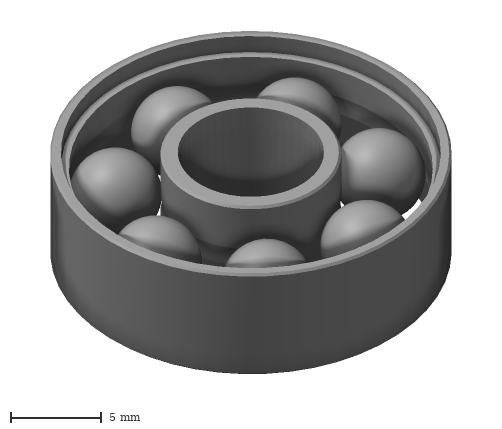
import cadquery as cq
import math

outer_radius = 11.05
width = 7.0
half_width = width / 2
edge_chamfer = 0.13

outer_land_radius = 10.0
recess_radius = 10.45
recess_depth = 1.1

inner_land_radius = 4.97
bore_radius = 4.02

ball_count = 7
ball_radius = 2.56
first_ball_angle = 18.4
groove_radius = 2.58
pitch_radius = (outer_land_radius + inner_land_radius) / 2


def tube(outside_radius, inside_radius):
    """Plain ring of full width, centred on the mid plane."""
    return (
        cq.Workplane("XY")
        .workplane(offset=-half_width)
        .circle(outside_radius)
        .circle(inside_radius)
        .extrude(width)
    )


def chamfer_outside(ring):
    """Chamfer the outermost edge at both ends of a ring."""
    rim = cq.selectors.RadiusNthSelector(-1)
    return ring.faces("<Z or >Z").edges(rim).chamfer(edge_chamfer)


def make_race():
    """Torus that cuts the race groove into both rings."""
    crown = (pitch_radius, groove_radius)
    base = (pitch_radius, -groove_radius)
    return (
        cq.Workplane("XZ")
        .moveTo(*crown)
        .threePointArc((pitch_radius + groove_radius, 0), base)
        .threePointArc((pitch_radius - groove_radius, 0), crown)
        .close()
        .revolve(360, (0, 0, 0), (0, 1, 0), clean=False)
    )


def make_outer_ring():
    ring = chamfer_outside(tube(outer_radius, outer_land_radius))
    for recess_start in (-half_width, half_width - recess_depth):
        recess = (
            cq.Workplane("XY")
            .workplane(offset=recess_start)
            .circle(recess_radius)
            .extrude(recess_depth)
        )
        ring = ring.cut(recess)
    return ring.cut(make_race())


def make_inner_ring():
    ring = chamfer_outside(tube(inner_land_radius, bore_radius))
    return ring.cut(make_race())


def make_ball(index):
    """Ball at its evenly spaced place on the pitch circle."""
    angle = math.radians(first_ball_angle + index * 360 / ball_count)
    center = (pitch_radius * math.cos(angle), pitch_radius * math.sin(angle), 0)
    return cq.Workplane("XZ").sphere(ball_radius).translate(center)


outer_ring = make_outer_ring()
inner_ring = make_inner_ring()
balls = [make_ball(index).val() for index in range(ball_count)]

result = cq.Compound.makeCompound([outer_ring.val(), inner_ring.val(), *balls])